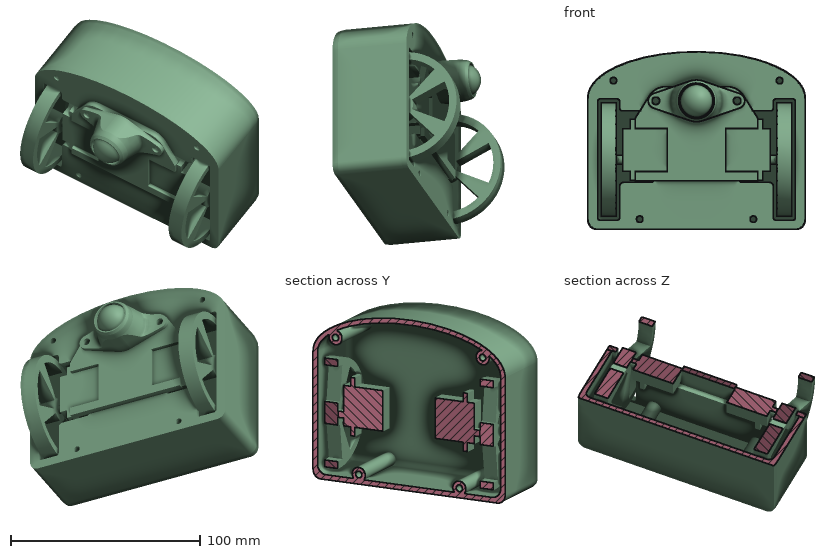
import cadquery as cq
import math


WIDTH = 115.0
HEIGHT = 94.0
DEPTH = 40.5
WALL = 3.0
ARCH_HEIGHT = 24.5
CORNER_RADIUS = 5.0
BACK_TAPER = 0.5
SCREW_PLACES = [(43.9, 78.7), (30.0, 5.4)]
SCREW_HOLE_DIAMETER = 3.5
SCREW_HOLE_DEPTH = 10.0
SCREW_BOSS_DIAMETER = 8.0

WHEEL_SLOT_INNER_X = 40.6
WHEEL_SLOT_OUTER_X = 52.3
WHEEL_SLOT_BOTTOM = 4.8
WHEEL_SLOT_TOP = 69.0
OPENING_BOTTOM = 24.8
OPENING_TOP = 62.7
OPENING_RADIUS = 1.5
LOWER_SLOT_RADIUS = 2.1
TAB_HALF_WIDTH = 22.7
TAB_TOP = 27.6

BRACKET_THICKNESS = 3.3
BRACKET_BOTTOM = 25.6
BRACKET_SHOULDER = 58.9
BRACKET_TOP = 75.4
BRACKET_HALF_WIDTH = 32.3
BRACKET_TOP_HALF_WIDTH = 21.8
BRACKET_RADIUS = 10.0

SERVO_INNER_X = 15.5
SERVO_OUTER_X = 39.1
SERVO_BOTTOM = 30.8
SERVO_TOP = 53.2
SERVO_THICKNESS = 12.0
SERVO_CLEARANCE = 0.3
EAR_THICKNESS = 2.6
EAR_LENGTH = 32.2
SHAFT_DIAMETER = 4.7

WHEEL_RADIUS = 30.0
WHEEL_INNER_X = 42.4
WHEEL_WIDTH = 8.0
AXLE_Y = 4.5
AXLE_Z = 36.9
RIM_INNER_RADIUS = 26.0
HUB_RADIUS = 6.3
WINDOW_COUNT = 5
WINDOW_ANGLE = 51.4

CASTER_Z = 68.0
CASTER_BASE_THICKNESS = 2.3
CASTER_RADIUS = 11.0
LOBE_RADIUS = 4.0
LOBE_SPACING = 21.5
LOBE_HOLE_DIAMETER = 4.0
NECK_LENGTH = 16.2 - BRACKET_THICKNESS
COLLAR_EDGE = 19.7 - BRACKET_THICKNESS
COLLAR_EDGE_RADIUS = 10.4
CASTER_LENGTH = 21.2 - BRACKET_THICKNESS
COLLAR_END_RADIUS = 9.4
BALL_RADIUS = 8.7
BALL_Y = AXLE_Y - WHEEL_RADIUS + BALL_RADIUS

SIDES = (-1, 1)


def front_plane(y):
    """XZ workplane at the given Y; a positive extrusion goes towards -Y."""
    return cq.Workplane("XZ", origin=(0, y, 0))


def box(x_range, y_range, z_range):
    spans = [x_range, y_range, z_range]
    sizes = [abs(high - low) for low, high in spans]
    corner = [min(span) for span in spans]
    return cq.Workplane("XY").box(*sizes, centered=False).translate(tuple(corner))


def case_block(inset, y_front, y_back):
    """Block with an elliptical top and rounded lower corners, set in from the outside."""
    half_width = WIDTH / 2 - inset
    spring = HEIGHT - ARCH_HEIGHT
    arch = ARCH_HEIGHT - inset
    upper = front_plane(y_back).center(0, spring).ellipse(half_width, arch).extrude(y_back - y_front)
    sides = box((-half_width, half_width), (y_front, y_back), (inset, spring))
    lower = sides.edges("|Y and <Z").fillet(CORNER_RADIUS)
    return upper.union(lower)


def screw_cylinders(diameter, y_front, y_back):
    places = [(side * x, z) for x, z in SCREW_PLACES for side in SIDES]
    return front_plane(y_back).pushPoints(places).circle(diameter / 2).extrude(y_back - y_front)


def make_case():
    outside = case_block(0, WALL, DEPTH).faces(">Y").edges().chamfer(WALL, BACK_TAPER)
    cavity = case_block(WALL, WALL, DEPTH - WALL).faces(">Y").edges().fillet(WALL)
    bosses = screw_cylinders(SCREW_BOSS_DIAMETER, WALL, DEPTH - WALL)
    holes = screw_cylinders(SCREW_HOLE_DIAMETER, WALL, WALL + SCREW_HOLE_DEPTH)
    return outside.cut(cavity).union(bosses).cut(holes)


def plate_opening():
    """Servo opening with a wheel slot at each end and a tab in its lower edge."""
    through = (0, WALL)
    opening = box((-WHEEL_SLOT_OUTER_X, WHEEL_SLOT_OUTER_X), through, (OPENING_BOTTOM, OPENING_TOP))
    for side in SIDES:
        slot_x = (side * WHEEL_SLOT_INNER_X, side * WHEEL_SLOT_OUTER_X)
        opening = opening.union(box(slot_x, through, (WHEEL_SLOT_BOTTOM, WHEEL_SLOT_TOP)))
    opening = opening.cut(box((-TAB_HALF_WIDTH, TAB_HALF_WIDTH), through, (OPENING_BOTTOM, TAB_TOP)))

    def corners_at(x, z):
        """Both mirrored corner edges at the given X and Z."""
        reach = OPENING_RADIUS / 2
        edges = opening.edges("|Y")
        boxes = [
            cq.selectors.BoxSelector(
                (side * x - reach, -WALL, z - reach), (side * x + reach, 2 * WALL, z + reach)
            )
            for side in SIDES
        ]
        return edges.edges(boxes[0] + boxes[1])

    opening = corners_at(WHEEL_SLOT_INNER_X, OPENING_BOTTOM).fillet(LOWER_SLOT_RADIUS)
    small_corners = [
        (WHEEL_SLOT_INNER_X, OPENING_TOP),
        (WHEEL_SLOT_INNER_X, WHEEL_SLOT_TOP),
        (WHEEL_SLOT_OUTER_X, WHEEL_SLOT_TOP),
        (WHEEL_SLOT_INNER_X, WHEEL_SLOT_BOTTOM),
        (WHEEL_SLOT_OUTER_X, WHEEL_SLOT_BOTTOM),
        (TAB_HALF_WIDTH, OPENING_BOTTOM),
    ]
    for x, z in small_corners:
        opening = corners_at(x, z).fillet(OPENING_RADIUS)
    return opening


def make_plate():
    plate = case_block(0, 0, WALL)
    return plate.cut(plate_opening()).cut(screw_cylinders(SCREW_HOLE_DIAMETER, 0, WALL))


def lobe_holes(y_front, y_back):
    places = [(side * LOBE_SPACING, CASTER_Z) for side in SIDES]
    holes = front_plane(y_back).pushPoints(places).circle(LOBE_HOLE_DIAMETER / 2)
    return holes.extrude(y_back - y_front)


def make_bracket():
    outline = [
        (-BRACKET_HALF_WIDTH, BRACKET_BOTTOM),
        (BRACKET_HALF_WIDTH, BRACKET_BOTTOM),
        (BRACKET_HALF_WIDTH, BRACKET_SHOULDER),
        (BRACKET_TOP_HALF_WIDTH, BRACKET_TOP),
        (-BRACKET_TOP_HALF_WIDTH, BRACKET_TOP),
        (-BRACKET_HALF_WIDTH, BRACKET_SHOULDER),
    ]
    bracket = front_plane(0).polyline(outline).close().extrude(BRACKET_THICKNESS)
    bracket = bracket.faces(">Z").edges("|Y").fillet(BRACKET_RADIUS)
    for side in SIDES:
        notch = box(
            (side * SERVO_INNER_X, side * BRACKET_HALF_WIDTH),
            (-BRACKET_THICKNESS, 0),
            (SERVO_BOTTOM - SERVO_CLEARANCE, SERVO_TOP + SERVO_CLEARANCE),
        )
        bracket = bracket.cut(notch)
    return bracket.cut(lobe_holes(-BRACKET_THICKNESS, 0))


def make_servo(side):
    """Servo body with its mounting ears, and the output shaft that reaches the wheel."""
    y_range = (AXLE_Y - SERVO_THICKNESS / 2, AXLE_Y + SERVO_THICKNESS / 2)
    middle = (SERVO_BOTTOM + SERVO_TOP) / 2
    body = box((side * SERVO_INNER_X, side * SERVO_OUTER_X), y_range, (SERVO_BOTTOM, SERVO_TOP))
    ears = box(
        (side * BRACKET_HALF_WIDTH, side * (BRACKET_HALF_WIDTH + EAR_THICKNESS)),
        y_range,
        (middle - EAR_LENGTH / 2, middle + EAR_LENGTH / 2),
    )
    shaft = (
        cq.Workplane("YZ", origin=(side * SERVO_OUTER_X, AXLE_Y, AXLE_Z))
        .circle(SHAFT_DIAMETER / 2)
        .extrude(side * (WHEEL_INNER_X - SERVO_OUTER_X))
    )
    return body.union(ears).union(shaft)


def polar(radius, degrees):
    angle = math.radians(degrees)
    return (radius * math.cos(angle), radius * math.sin(angle))


def make_wheel(side):
    """Spoked wheel; one of its windows points straight to the front."""
    plane = cq.Workplane("YZ", origin=(side * WHEEL_INNER_X, AXLE_Y, AXLE_Z))
    wheel = plane.circle(WHEEL_RADIUS).extrude(side * WHEEL_WIDTH)
    for index in range(WINDOW_COUNT):
        middle = 180 + index * 360 / WINDOW_COUNT
        start = middle - WINDOW_ANGLE / 2
        end = middle + WINDOW_ANGLE / 2
        window = (
            plane.moveTo(*polar(HUB_RADIUS, start))
            .lineTo(*polar(RIM_INNER_RADIUS, start))
            .threePointArc(polar(RIM_INNER_RADIUS, middle), polar(RIM_INNER_RADIUS, end))
            .lineTo(*polar(HUB_RADIUS, end))
            .threePointArc(polar(HUB_RADIUS, middle), polar(HUB_RADIUS, start))
            .close()
            .extrude(side * WHEEL_WIDTH)
        )
        wheel = wheel.cut(window)
    return wheel


def caster_outline(length):
    """Prism whose outline is a circle joined to two smaller lobes by tangent lines."""
    lean = math.asin((CASTER_RADIUS - LOBE_RADIUS) / LOBE_SPACING)
    waist_x = CASTER_RADIUS * math.sin(lean)
    waist_z = CASTER_RADIUS * math.cos(lean)
    lobe_x = LOBE_SPACING + LOBE_RADIUS * math.sin(lean)
    lobe_z = LOBE_RADIUS * math.cos(lean)
    tip_x = LOBE_SPACING + LOBE_RADIUS
    return (
        front_plane(-BRACKET_THICKNESS)
        .center(0, CASTER_Z)
        .moveTo(-waist_x, waist_z)
        .threePointArc((0, CASTER_RADIUS), (waist_x, waist_z))
        .lineTo(lobe_x, lobe_z)
        .threePointArc((tip_x, 0), (lobe_x, -lobe_z))
        .lineTo(waist_x, -waist_z)
        .threePointArc((0, -CASTER_RADIUS), (-waist_x, -waist_z))
        .lineTo(-lobe_x, -lobe_z)
        .threePointArc((-tip_x, 0), (-lobe_x, lobe_z))
        .close()
        .extrude(length)
    )


def caster_body():
    """Turned body: a flare onto the lobes, a tapered neck and a rounded collar."""
    tip_radius = LOBE_SPACING + LOBE_RADIUS
    flare = [(16.6, 2.8), (14.1, 3.7), (13.5, 5.0)]
    neck_slope = (CASTER_RADIUS - flare[-1][0], NECK_LENGTH - flare[-1][1])
    collar_middle = (10.8, (NECK_LENGTH + COLLAR_EDGE) / 2)
    profile = (
        cq.Workplane("XY")
        .moveTo(0, 0)
        .lineTo(tip_radius, 0)
        .lineTo(tip_radius, CASTER_BASE_THICKNESS)
        .lineTo(LOBE_SPACING, CASTER_BASE_THICKNESS)
        .spline(flare, tangents=[(-1, 0), neck_slope], includeCurrent=True)
        .lineTo(CASTER_RADIUS, NECK_LENGTH)
        .threePointArc(collar_middle, (COLLAR_EDGE_RADIUS, COLLAR_EDGE))
        .lineTo(COLLAR_END_RADIUS, CASTER_LENGTH)
        .lineTo(0, CASTER_LENGTH)
        .close()
    )
    turned = profile.revolve(360, (0, 0, 0), (0, 1, 0))
    return turned.rotate((0, 0, 0), (1, 0, 0), 180).translate((0, -BRACKET_THICKNESS, CASTER_Z))


def make_ball():
    return cq.Workplane("XY").sphere(BALL_RADIUS).translate((0, BALL_Y, CASTER_Z))


def make_caster():
    """Caster housing with a round-bottomed socket for the ball."""
    front = -BRACKET_THICKNESS - CASTER_LENGTH
    bore = front_plane(BALL_Y).center(0, CASTER_Z).circle(BALL_RADIUS).extrude(BALL_Y - front)
    body = caster_outline(CASTER_LENGTH).intersect(caster_body())
    return body.cut(bore).cut(make_ball()).cut(lobe_holes(front, -BRACKET_THICKNESS))


case = make_case()
plate = make_plate()
bracket = make_bracket()
servos = [make_servo(side) for side in SIDES]
wheels = [make_wheel(side) for side in SIDES]
caster = make_caster()
ball = make_ball()

result = cq.Compound.makeCompound(
    [
        case.val(),
        plate.val(),
        bracket.val(),
        *[servo.val() for servo in servos],
        *[wheel.val() for wheel in wheels],
        caster.val(),
        ball.val(),
    ]
)